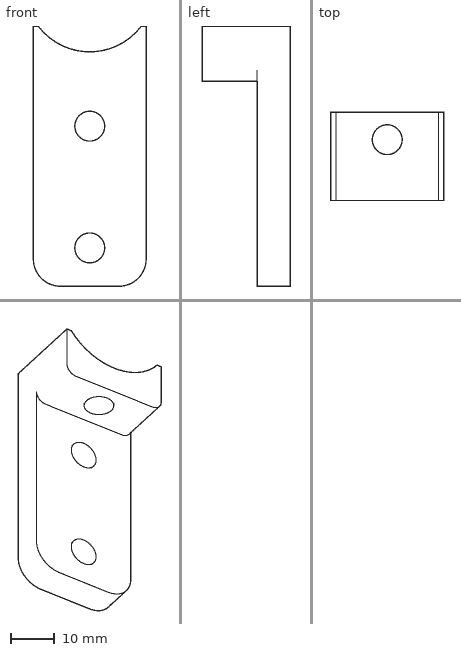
import cadquery as cq

width = 25.95
depth = 20.3
height = 59.7

plate_thickness = 7.65
plate_corner_radius = 6.3
hole_diameter = 6.8
plate_hole_heights = (8.85, 36.75)

block_height = 12.65
block_corner_radius = 2.5
saddle_radius = 14.8
saddle_depth = 5.85
block_hole_y = 13.95


def rounded_bottom_slab(slab_height, slab_depth, corner_radius):
    """Full-width slab hanging from the top, with its two lower corners rounded."""
    return (
        cq.Workplane("XY")
        .box(width, slab_depth, slab_height, centered=(True, False, False))
        .translate((0, 0, height - slab_height))
        .edges("|Y and <Z")
        .fillet(corner_radius)
    )


plate = rounded_bottom_slab(height, plate_thickness, plate_corner_radius)
block = rounded_bottom_slab(block_height, depth, block_corner_radius)
body = plate.union(block)

saddle_axis_height = height - saddle_depth + saddle_radius
saddle = (
    cq.Workplane("XZ")
    .center(0, saddle_axis_height)
    .circle(saddle_radius)
    .extrude(-depth)
)

plate_holes = (
    cq.Workplane("XZ")
    .pushPoints([(0, z) for z in plate_hole_heights])
    .circle(hole_diameter / 2)
    .extrude(-plate_thickness)
)

block_hole = (
    cq.Workplane("XY")
    .center(0, block_hole_y)
    .circle(hole_diameter / 2)
    .extrude(height)
)

result = body.cut(saddle).cut(plate_holes).cut(block_hole)